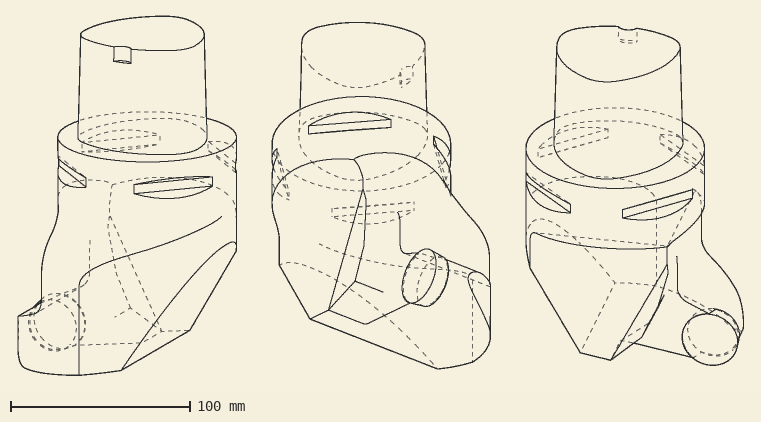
import cadquery as cq
import math


overall_height = 190.0
reach = 114.0

shank_height = 60.0
shank_growth = 1.5
lobe_radius = 16.7
lobe_distance = 20.5
flank_distance = 32.0
notch_radius = 6.0
notch_depth = 8.4
notch_center_y = -34.5

flange_radius = 50.0
flange_height = 36.1
neck_radius = 5.0
cone_angle = 50.0
shoulder_radius = 25.0
head_radius = 72.2

groove_z = -16.0
groove_depth = 5.7
groove_floor_width = 5.3
groove_mouth_width = 11.8
groove_count = 4

column_x = -35.3
throat_z = -34.2
slope_angle = 25.0
corner_radius = 10.0
right_cut_z = -55.9
right_cut_angle = 60.0
bottom_corner_x = 14.5
bottom_angle = 9.0
nose_radius = 14.0

side_edge_x = -7.6
side_radius = 70.0

back_y = 25.0
back_edge_z = -37.5
back_slope_angle = 13.0

pocket_y = -0.8
pocket_corner_radius = 2.0
pocket_points = [(column_x, -63.3), (-28.3, -88.2), (-19.4, -107.0), (-3.0, -120.0)]
bevel_start_z = -56.5
bevel_z_slope = 0.33
bevel_x_slope = 0.65

insert_radius = 16.0
insert_seat_radius = 14.8
insert_thickness = 9.5
insert_x = -54.1

insert_z = shank_height - overall_height + insert_radius


def tan_deg(angle):
    return math.tan(math.radians(angle))


def polar(radius, angle):
    return cq.Vector(radius * math.cos(math.radians(angle)), radius * math.sin(math.radians(angle)))


def shank_outline(z, growth):
    """Three lobe arcs joined by three tangent flank arcs."""
    gap = flank_distance - lobe_radius
    flank_offset = (lobe_distance**2 - gap**2) / (2 * gap - lobe_distance)
    lobe_center = polar(lobe_distance, -30)
    flank_center = cq.Vector(0, flank_offset)
    joint = lobe_center + (lobe_center - flank_center).normalized() * (lobe_radius + growth)
    joint_radius = joint.Length
    half_lobe = -30 - math.degrees(math.atan2(joint.y, joint.x))
    tip = lobe_distance + lobe_radius + growth
    flank = flank_distance + growth
    start = polar(joint_radius, -30 - half_lobe)
    wire = cq.Workplane("XY", origin=(0, 0, z)).moveTo(start.x, start.y)
    for axis in (-30, 90, 210):
        for radius, angle, end in (
            (tip, axis, axis + half_lobe),
            (flank, axis + 60, axis + 120 - half_lobe),
        ):
            middle = polar(radius, angle)
            finish = polar(joint_radius, end)
            wire = wire.threePointArc((middle.x, middle.y), (finish.x, finish.y))
    return wire.close().val()


def make_shank():
    lower = shank_outline(0, shank_growth)
    upper = shank_outline(shank_height, 0)
    shank = cq.Workplane(cq.Solid.makeLoft([lower, upper], True))
    notch = (
        cq.Workplane("XY", origin=(0, notch_center_y, shank_height - notch_depth))
        .circle(notch_radius)
        .extrude(notch_depth)
    )
    return shank.cut(notch)


def make_turned_blank():
    """Flange, concave neck, cone and rounded shoulder, turned about Z."""
    turn = math.radians(cone_angle)

    def arc_point(center_r, center_z, radius, angle):
        return (center_r + radius * math.cos(angle), center_z + radius * math.sin(angle))

    neck_center = (flange_radius + neck_radius, -flange_height)
    neck_middle = arc_point(*neck_center, neck_radius, math.pi + turn / 2)
    neck_end = arc_point(*neck_center, neck_radius, math.pi + turn)
    shoulder_r = head_radius - shoulder_radius
    cone_end_r = shoulder_r + shoulder_radius * math.cos(turn)
    cone_end_z = neck_end[1] - (cone_end_r - neck_end[0]) / math.tan(turn)
    shoulder_z = cone_end_z - shoulder_radius * math.sin(turn)
    shoulder_middle = arc_point(shoulder_r, shoulder_z, shoulder_radius, turn / 2)
    return (
        cq.Workplane("XZ")
        .lineTo(flange_radius, 0)
        .lineTo(flange_radius, -flange_height)
        .threePointArc(neck_middle, neck_end)
        .lineTo(cone_end_r, cone_end_z)
        .threePointArc(shoulder_middle, (head_radius, shoulder_z))
        .lineTo(head_radius, -overall_height)
        .lineTo(0, -overall_height)
        .close()
        .revolve(360, (0, 0), (0, 1))
    )


def make_plan_prism():
    """Half flange circle at the back, room for the head at the left, tangent side arc at the right."""
    edge_y = -math.sqrt(head_radius**2 - side_edge_x**2)
    side_center_x = flange_radius - side_radius
    side_start_y = edge_y + math.sqrt(side_radius**2 - (side_edge_x - side_center_x) ** 2)
    return (
        cq.Workplane("XY")
        .moveTo(flange_radius, 0)
        .threePointArc((0, flange_radius), (-flange_radius, 0))
        .lineTo(-head_radius, 0)
        .lineTo(-head_radius, edge_y)
        .lineTo(side_edge_x, edge_y)
        .radiusArc((flange_radius, side_start_y), -side_radius)
        .close()
        .extrude(-overall_height)
    )


def make_side_prism():
    """Side outline with the throat at the left and the nose around the insert."""
    slope = tan_deg(slope_angle)
    nose_top = polar(nose_radius, 90 + slope_angle) + cq.Vector(insert_x, insert_z)
    nose_low = polar(nose_radius, -90 + bottom_angle) + cq.Vector(insert_x, insert_z)
    column_low_z = nose_top.y + (column_x - nose_top.x) * slope
    column_high_z = throat_z - (column_x + flange_radius) * slope
    bottom_corner_z = right_cut_z - (flange_radius - bottom_corner_x) * tan_deg(right_cut_angle)
    prism = (
        cq.Workplane("XZ")
        .moveTo(-reach, 0)
        .lineTo(flange_radius - right_cut_z / tan_deg(right_cut_angle), 0)
        .lineTo(bottom_corner_x, bottom_corner_z)
        .lineTo(nose_low.x, nose_low.y)
        .threePointArc((insert_x - nose_radius, insert_z), (nose_top.x, nose_top.y))
        .lineTo(column_x, column_low_z)
        .lineTo(column_x, column_high_z)
        .lineTo(-reach, column_high_z + (column_x + reach) * slope)
        .close()
    )
    corners = cq.selectors.BoxSelector(
        (column_x - 1.9, -reach - 1.9, column_low_z - 1.9), (column_x + 1.9, reach + 1.9, column_high_z + 1.9)
    )
    return prism.extrude(reach, both=True).edges("|Y").edges(corners).fillet(corner_radius)


def make_back_cutter():
    """Everything behind the flat back of the column, under a gentle slope."""
    slope = tan_deg(back_slope_angle)
    inner_z = back_edge_z - (flange_radius - back_y) * slope
    inner_edge = cq.selectors.NearestToPointSelector((0, back_y, inner_z))
    return (
        cq.Workplane("YZ")
        .moveTo(back_y, -overall_height)
        .lineTo(back_y, inner_z)
        .lineTo(reach, inner_z + (reach - back_y) * slope)
        .lineTo(reach, -overall_height)
        .close()
        .extrude(reach, both=True)
        .edges(inner_edge)
        .fillet(corner_radius)
    )


def make_chip_pocket():
    """Clears the space in front of the insert, with a rounded inner corner."""
    (top_x, top_z), (low_x, low_z) = pocket_points[0], pocket_points[-1]
    last_x, last_z = pocket_points[-2]
    end_x = low_x + (low_x - last_x) * (low_z + overall_height) / (last_z - low_z)
    points = [(-reach, top_z), *pocket_points, (end_x, -overall_height), (-reach, -overall_height)]
    pocket = cq.Workplane("XZ", origin=(0, pocket_y, 0)).polyline(points).close().extrude(-reach)
    return pocket.faces("<Y").edges().fillet(pocket_corner_radius)


def make_bevel_cutter():
    """Space behind the slanted plane that bevels the back edge, kept clear of flange and nose."""
    plane = cq.Plane(
        origin=(column_x, back_y, bevel_start_z),
        xDir=(1, bevel_x_slope, 0),
        normal=(-bevel_x_slope, 1, -bevel_z_slope),
    )
    beyond_plane = cq.Workplane(plane).rect(4 * reach, 4 * reach).extrude(reach)
    bevel_zone = (
        cq.Workplane("XY", origin=(0, pocket_y + reach / 2, bevel_start_z))
        .rect(2 * reach, reach)
        .extrude(-overall_height)
    )
    return beyond_plane.intersect(bevel_zone)


def make_grooves():
    floor = flange_radius - groove_depth
    flare = (groove_mouth_width - groove_floor_width) / 2 / groove_depth
    mouth_half = groove_floor_width / 2 + flare * (reach - floor)
    floor_half = groove_floor_width / 2
    groove = (
        cq.Workplane("XZ")
        .polyline([
            (floor, groove_z - floor_half),
            (reach, groove_z - mouth_half),
            (reach, groove_z + mouth_half),
            (floor, groove_z + floor_half),
        ])
        .close()
        .extrude(reach, both=True)
    )
    step = 360 / groove_count
    return [groove.rotate((0, 0, 0), (0, 0, 1), (i + 0.5) * step) for i in range(groove_count)]


def make_insert():
    return cq.Workplane(
        cq.Solid.makeCone(
            insert_radius,
            insert_seat_radius,
            insert_thickness,
            cq.Vector(insert_x, 0, insert_z),
            cq.Vector(0, -1, 0),
        )
    )


def make_holder(insert):
    holder = make_turned_blank().intersect(make_plan_prism()).intersect(make_side_prism())
    holder = holder.cut(make_back_cutter()).cut(make_chip_pocket())
    holder = holder.cut(make_bevel_cutter())
    for groove in make_grooves():
        holder = holder.cut(groove)
    return holder.union(make_shank()).cut(insert)


insert = make_insert()
holder = make_holder(insert)
result = cq.Compound.makeCompound([holder.val(), insert.val()])